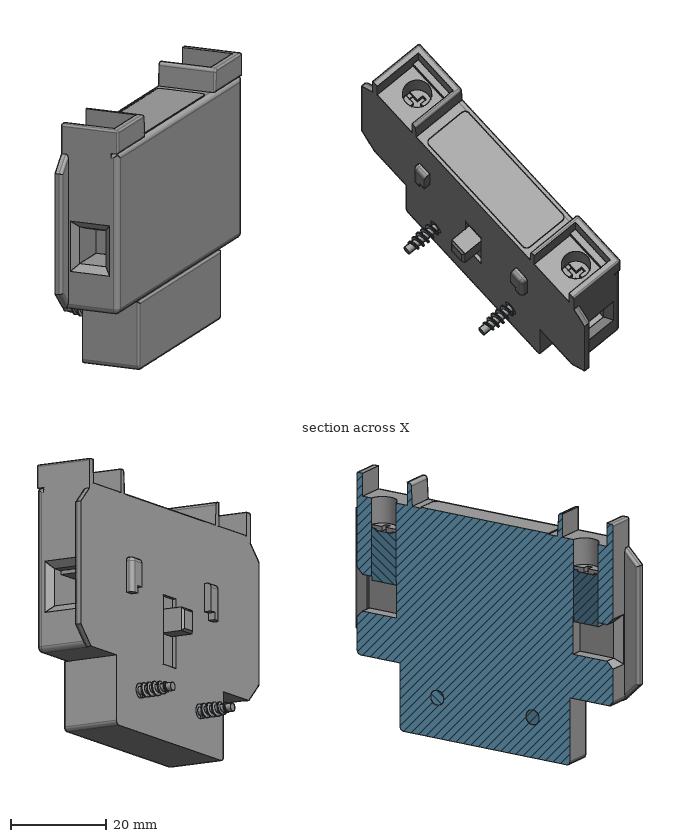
import cadquery as cq
import math

DEPTH = 13.0
MID_HALF_WIDTH = 32.3
MID_BOTTOM = 14.95
MID_TOP = 50.2
MID_FILLET = 1.15
FOOT_HALF_WIDTH = 21.45
FOOT_BOTTOM_FILLET = 0.9
SMALL_FILLET = 0.4

PLATE_THICKNESS = 1.6
PLATE_HALF_WIDTH = 35.75
PLATE_TOP = 48.8
PLATE_UPPER_CHAMFER = PLATE_HALF_WIDTH - MID_HALF_WIDTH
PLATE_LOWER_CHAMFER = 4.1
PLATE_FILLET = 0.65

TOWER_TOP = 55.3
TOWER_INNER_FOOT = 18.2
TOWER_INNER_HEAD = 18.5
TOWER_INNER_FILLET = 0.7
POCKET_INNER = 19.6
POCKET_OUTER = 30.75
POCKET_DEPTH_X = 11.45
RIB_WIDTH = 1.5
RIB_HEIGHT = 1.1
CORNER_GROOVE_X = 11.4
CORNER_GROOVE_RADIUS = 1.0

CENTER_X = DEPTH / 2
ENTRY_Z = 28.8
ENTRY_INNER_WIDTH = 6.0
ENTRY_INNER_HEIGHT = 8.0
ENTRY_FLARE = 1.5
ENTRY_DEPTH = 10.0
ENTRY_CEILING = ENTRY_Z + ENTRY_INNER_HEIGHT / 2

LABEL_HALF_LENGTH = 16.1
LABEL_START_X = 0.8
LABEL_END_X = DEPTH - MID_FILLET
LABEL_HEIGHT = 0.2
LABEL_CORNER = 1.1

HOOK_HEIGHT = 1.6
HOOK_INNER = 13.9
HOOK_OUTER = 17.45
HOOK_STEP = 15.45
HOOK_TOP = 36.8
HOOK_STEP_Z = 30.75
HOOK_BOTTOM = 29.2
HOOK_FILLET = 0.9
SLOT_WIDTH = 5.0
SLOT_BOTTOM = 16.45
SLOT_TOP = 31.4
SLOT_DEPTH = 0.85
ACTUATOR_WIDTH = 4.2
ACTUATOR_BOTTOM = 23.3
ACTUATOR_TOP = 28.4
ACTUATOR_REACH = 4.6
ACTUATOR_CHAMFER = 0.5

TERMINAL_Y = 25.45
TERMINAL_RADIUS = 3.1
TERMINAL_HEAD_TOP = 44.3
RECESS_WIDTH = 1.1
CROSS_LENGTH = 4.1
CROSS_DEPTH = 1.1
SLOT_RECESS_DEPTH = 0.7
CLAMP_DROP = 0.85
CLAMP_LENGTH = 2 * TERMINAL_RADIUS
CLAMP_GAP = 0.2

SCREW_Y = 12.0
SCREW_Z = 9.0
SCREW_REACH = 8.1
CORE_RADIUS = 0.895
CREST_RADIUS = 1.6
SHANK_DEPTH = 7.15
THREAD_PITCH = 1.3
THREAD_START = -6.85
CREST_RADII = (1.1, 1.35, CREST_RADIUS, CREST_RADIUS, CREST_RADIUS, CREST_RADIUS)
THREAD_ROOT_WIDTH = 0.65
THREAD_CREST_WIDTH = 0.3
THREAD_SINK = 0.15

SIDES = (-1, 1)


def span_box(x_range, y_range, z_range):
    """Box between two limits along each axis."""
    low, high = zip(*(sorted(limits) for limits in (x_range, y_range, z_range)))
    size = [top - bottom for bottom, top in zip(low, high)]
    return cq.Workplane("XY").box(*size, centered=False).translate(low)


def middle_block():
    block = span_box((0, DEPTH), (-MID_HALF_WIDTH, MID_HALF_WIDTH), (MID_BOTTOM, MID_TOP))
    block = block.edges("|X and <Z").fillet(MID_FILLET)
    return block.faces(">X").edges().fillet(MID_FILLET)


def foot():
    block = span_box((0, DEPTH), (-FOOT_HALF_WIDTH, FOOT_HALF_WIDTH), (0, MID_BOTTOM))
    block = block.edges("|X and <Z").fillet(FOOT_BOTTOM_FILLET)
    return block.faces(">X").edges().fillet(SMALL_FILLET)


def plate():
    upper_z = PLATE_TOP - PLATE_UPPER_CHAMFER
    lower_z = MID_BOTTOM + PLATE_LOWER_CHAMFER
    lower_y = PLATE_HALF_WIDTH - PLATE_LOWER_CHAMFER
    half = [
        (lower_y, MID_BOTTOM),
        (PLATE_HALF_WIDTH, lower_z),
        (PLATE_HALF_WIDTH, upper_z),
        (MID_HALF_WIDTH, PLATE_TOP),
    ]
    mirrored = [(-y, z) for y, z in reversed(half)]
    octagon = cq.Workplane("YZ").polyline(half + mirrored).close().extrude(PLATE_THICKNESS)
    return octagon.faces(">X").edges().fillet(PLATE_FILLET)


def tower():
    """Terminal tower at the +Y end, with its open pocket and the rib on the pocket floor."""
    outline = [
        (TOWER_INNER_FOOT, MID_TOP),
        (MID_HALF_WIDTH, MID_TOP),
        (MID_HALF_WIDTH, TOWER_TOP),
        (TOWER_INNER_HEAD, TOWER_TOP),
    ]
    block = cq.Workplane("YZ").polyline(outline).close().extrude(DEPTH)
    block = block.faces(">Z").edges("<Y").fillet(TOWER_INNER_FILLET)
    block = block.faces(">Z").edges(">Y").fillet(SMALL_FILLET)
    block = block.faces(">X").edges().fillet(SMALL_FILLET)
    pocket_y = (POCKET_INNER, POCKET_OUTER)
    pocket = span_box((0, POCKET_DEPTH_X), pocket_y, (MID_TOP, TOWER_TOP))
    rib_x = (POCKET_DEPTH_X - RIB_WIDTH, POCKET_DEPTH_X)
    rib = span_box(rib_x, pocket_y, (MID_TOP, MID_TOP + RIB_HEIGHT))
    return block.cut(pocket).union(rib)


def corner_groove():
    """Cutter that rounds the upper end edge of the middle block near the +X face, at +Y."""
    y_start = MID_HALF_WIDTH - CORNER_GROOVE_RADIUS
    z_start = MID_TOP - CORNER_GROOVE_RADIUS
    corner = span_box((CORNER_GROOVE_X, DEPTH), (y_start, MID_HALF_WIDTH), (z_start, MID_TOP))
    round_edge = (
        cq.Workplane("YZ", origin=(CORNER_GROOVE_X, y_start, z_start))
        .circle(CORNER_GROOVE_RADIUS)
        .extrude(DEPTH - CORNER_GROOVE_X)
    )
    return corner.cut(round_edge)


def wire_entry():
    """Cutter for the flared wire entry in the +Y end."""
    mouth = (
        cq.Workplane("XZ", origin=(CENTER_X, MID_HALF_WIDTH, ENTRY_Z))
        .rect(ENTRY_INNER_WIDTH + 2 * ENTRY_FLARE, ENTRY_INNER_HEIGHT + 2 * ENTRY_FLARE)
        .workplane(offset=ENTRY_FLARE)
        .rect(ENTRY_INNER_WIDTH, ENTRY_INNER_HEIGHT)
        .loft(ruled=True)
    )
    chamber = (
        cq.Workplane("XZ", origin=(CENTER_X, MID_HALF_WIDTH, ENTRY_Z))
        .rect(ENTRY_INNER_WIDTH, ENTRY_INNER_HEIGHT)
        .extrude(ENTRY_DEPTH)
    )
    return mouth.union(chamber)


def terminal_hole():
    return (
        cq.Workplane("XY", origin=(CENTER_X, TERMINAL_Y, ENTRY_CEILING))
        .circle(TERMINAL_RADIUS)
        .extrude(MID_TOP - ENTRY_CEILING)
    )


def label_panel():
    label_y = (-LABEL_HALF_LENGTH, LABEL_HALF_LENGTH)
    panel = span_box((LABEL_START_X, LABEL_END_X), label_y, (MID_TOP, MID_TOP + LABEL_HEIGHT))
    return panel.edges("|Z").fillet(LABEL_CORNER)


def hook():
    """Stepped hook on the -X face, on the +Y side."""
    outline = [
        (HOOK_INNER, HOOK_TOP),
        (HOOK_OUTER, HOOK_TOP),
        (HOOK_OUTER, HOOK_BOTTOM),
        (HOOK_STEP, HOOK_BOTTOM),
        (HOOK_STEP, HOOK_STEP_Z),
        (HOOK_INNER, HOOK_STEP_Z),
    ]
    block = cq.Workplane("YZ").polyline(outline).close().extrude(-HOOK_HEIGHT)
    rounded = "(<X and >Z) or (<X and >Y) or (|X and >Y and >Z)"
    return block.edges(rounded).fillet(HOOK_FILLET)


def actuator():
    half_width = ACTUATOR_WIDTH / 2
    block = span_box(
        (-ACTUATOR_REACH, SLOT_DEPTH), (-half_width, half_width), (ACTUATOR_BOTTOM, ACTUATOR_TOP)
    )
    return block.faces("<X").edges().chamfer(ACTUATOR_CHAMFER)


def screw_hole(side):
    return (
        cq.Workplane("YZ", origin=(0, side * SCREW_Y, SCREW_Z))
        .circle(CREST_RADIUS)
        .extrude(SHANK_DEPTH)
    )


def at_end(shape, side):
    """Put a shape that is built for the +Y end at the end on the given side."""
    return shape if side > 0 else shape.mirror("XZ")


def make_housing():
    housing = middle_block().union(foot()).union(plate()).union(label_panel())
    for side in SIDES:
        housing = housing.cut(at_end(corner_groove(), side))
        housing = housing.union(at_end(tower(), side))
        housing = housing.union(at_end(hook(), side))
        housing = housing.cut(at_end(wire_entry(), side))
        housing = housing.cut(at_end(terminal_hole(), side))
        housing = housing.cut(screw_hole(side))
    half_slot = SLOT_WIDTH / 2
    slot = span_box((0, SLOT_DEPTH), (-half_slot, half_slot), (SLOT_BOTTOM, SLOT_TOP))
    return housing.cut(slot).union(actuator())


def make_terminal(side):
    head = (
        cq.Workplane("XY", origin=(CENTER_X, TERMINAL_Y, ENTRY_CEILING))
        .circle(TERMINAL_RADIUS)
        .extrude(TERMINAL_HEAD_TOP - ENTRY_CEILING)
    )
    top = cq.Workplane("XY", origin=(CENTER_X, TERMINAL_Y, TERMINAL_HEAD_TOP))
    straight_slot = top.rect(RECESS_WIDTH, 2 * TERMINAL_RADIUS).extrude(-SLOT_RECESS_DEPTH)
    cross = top.rect(RECESS_WIDTH, CROSS_LENGTH).extrude(-CROSS_DEPTH)
    cross = cross.union(top.rect(CROSS_LENGTH, RECESS_WIDTH).extrude(-CROSS_DEPTH))
    clamp_start = CENTER_X - ENTRY_INNER_WIDTH / 2
    clamp = span_box(
        (clamp_start, clamp_start + ENTRY_INNER_WIDTH - CLAMP_GAP),
        (TERMINAL_Y - CLAMP_LENGTH / 2, TERMINAL_Y + CLAMP_LENGTH / 2),
        (ENTRY_CEILING - CLAMP_DROP, ENTRY_CEILING),
    )
    return at_end(head.cut(straight_slot).cut(cross).union(clamp), side)


def helix_turn(start_radius, end_radius, start_z):
    """One right-handed turn around the Z axis, conical where the two radii differ."""
    growth = end_radius - start_radius
    if growth:
        slant = math.hypot(THREAD_PITCH, growth)
        taper = math.degrees(math.atan2(growth, THREAD_PITCH))
        turn = cq.Wire.makeHelix(slant, slant, start_radius, angle=taper)
    else:
        turn = cq.Wire.makeHelix(THREAD_PITCH, THREAD_PITCH, start_radius)
    return turn.translate(cq.Vector(0, 0, start_z))


def screw_thread():
    """Thread around the Z axis that grows from the tip, built from one set of faces per turn."""
    root_radius = CORE_RADIUS - THREAD_SINK
    faces = []
    turns = []
    for index, (start_crest, end_crest) in enumerate(zip(CREST_RADII, CREST_RADII[1:])):
        middle = THREAD_START + index * THREAD_PITCH
        corners = [
            helix_turn(root_radius, root_radius, middle - THREAD_ROOT_WIDTH / 2),
            helix_turn(start_crest, end_crest, middle - THREAD_CREST_WIDTH / 2),
            helix_turn(start_crest, end_crest, middle + THREAD_CREST_WIDTH / 2),
            helix_turn(root_radius, root_radius, middle + THREAD_ROOT_WIDTH / 2),
        ]
        for corner, following in zip(corners, corners[1:] + corners[:1]):
            faces.append(cq.Face.makeRuledSurface(corner, following))
        turns.append(corners)
    start_cap = [corner.startPoint() for corner in turns[0]]
    end_cap = [corner.endPoint() for corner in turns[-1]]
    for cap in (start_cap, end_cap):
        faces.append(cq.Face.makeFromWires(cq.Wire.makePolygon(cap, close=True)))
    return cq.Solid.makeSolid(cq.Shell.makeShell(faces))


def make_screw(side):
    """Screw pointing towards -X, with a plain shank inside the housing."""
    core = cq.Workplane("XY").circle(CORE_RADIUS).extrude(-SCREW_REACH)
    shank = cq.Workplane("XY").circle(CREST_RADIUS).extrude(SHANK_DEPTH)
    screw = core.union(cq.Workplane(screw_thread())).union(shank)
    screw = screw.rotate((0, 0, 0), (0, 1, 0), 90)
    return screw.translate((0, side * SCREW_Y, SCREW_Z))


housing = make_housing()
terminals = [make_terminal(side) for side in SIDES]
screws = [make_screw(side) for side in SIDES]

result = cq.Compound.makeCompound(
    [housing.val()] + [terminal.val() for terminal in terminals] + [screw.val() for screw in screws]
)